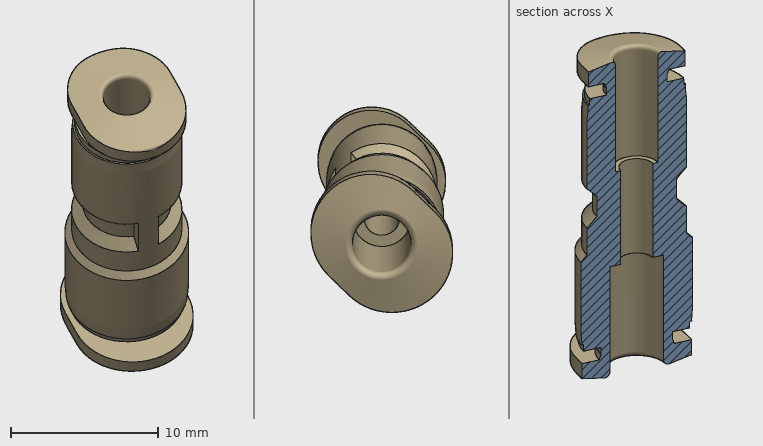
import cadquery as cq
import math

length = 24.1
through_bore_d = 2.4

upper_body_d = 7.5
lower_body_d = 8.4
shoulder_z = 9.3
groove_top_z = 14.8
groove_bottom_z = 11.8
groove_core_d = 6.02
rib_width = 1.5

button_inner = 1.52
flare_inner = 1.9
collar_outer = 2.4
collar_edge = 0.15
collar_edge_inset = 0.02
barrel_outer = 2.92
nose_inner = 3.93
nose_inset = 0.07

oval_center_distance = 1.98
cone_angle = 11.0
flare = 0.15

upper_button_width = 7.25
upper_collar_d = 7.1
upper_neck_d = 4.58
upper_tube_d = 3.18
upper_rim_round = 0.3
upper_corner_round = 0.17

lower_button_width = 8.22
lower_collar_d = 8.0
lower_neck_d = 5.37
lower_tube_d = 3.98
lower_rim_round = 0.43
tube_depth = 8.44


def revolve(profile):
    return profile.close().revolve(360, (0, 0, 0), (0, 1, 0))


def make_end(body_d, collar_d, neck_d, tube_d, button_width, rim_round, corner_round=0):
    """Solid end and its socket cutter, with the outer face at z = 0 and the part above it."""
    neck_r = neck_d / 2
    collar_r = collar_d / 2
    body_r = body_d / 2
    tube_r = tube_d / 2
    rim_r = tube_r + rim_round
    tip_r = (button_width + oval_center_distance) / 2
    cone_height = (tip_r - rim_r) * math.tan(math.radians(cone_angle))

    disc = revolve(
        cq.Workplane("XZ").lineTo(rim_r, 0).lineTo(tip_r, cone_height)
        .lineTo(tip_r, button_inner).lineTo(0, button_inner)
    )
    if corner_round:
        disc = disc.edges(cq.selectors.RadiusNthSelector(-1)).edges("<Z").fillet(corner_round)
    oval = (
        cq.Workplane("XY")
        .slot2D(button_width + oval_center_distance, button_width)
        .extrude(button_inner)
    )
    button = disc.intersect(oval)

    barrel = revolve(
        cq.Workplane("XZ", origin=(0, 0, button_inner))
        .lineTo(neck_r + flare, 0)
        .lineTo(neck_r, flare_inner - button_inner)
        .lineTo(neck_r, collar_outer - button_inner)
        .lineTo(collar_r - collar_edge_inset, collar_outer - button_inner)
        .lineTo(collar_r, collar_outer + collar_edge - button_inner)
        .lineTo(collar_r, barrel_outer - button_inner)
        .lineTo(body_r - nose_inset, barrel_outer - button_inner)
        .lineTo(body_r, nose_inner - button_inner)
        .lineTo(0, nose_inner - button_inner)
    )

    round_offset = rim_round * (1 - math.sqrt(0.5))
    socket = revolve(
        cq.Workplane("XZ").lineTo(rim_r, 0)
        .threePointArc((tube_r + round_offset, round_offset), (tube_r, rim_round))
        .lineTo(tube_r, tube_depth).lineTo(0, tube_depth)
    )
    return button.union(barrel), socket


def make_middle():
    upper_r = upper_body_d / 2
    lower_r = lower_body_d / 2
    core_r = groove_core_d / 2
    groove_depth = upper_r - core_r
    shoulder_height = lower_r - upper_r
    middle = revolve(
        cq.Workplane("XZ").moveTo(0, nose_inner)
        .lineTo(lower_r, nose_inner)
        .lineTo(lower_r, shoulder_z)
        .lineTo(upper_r, shoulder_z + shoulder_height)
        .lineTo(upper_r, groove_bottom_z)
        .lineTo(core_r, groove_bottom_z + groove_depth)
        .lineTo(core_r, groove_top_z - groove_depth)
        .lineTo(upper_r, groove_top_z)
        .lineTo(upper_r, length - nose_inner)
        .lineTo(0, length - nose_inner)
    )

    groove_height = groove_top_z - groove_bottom_z
    web = (
        cq.Workplane("XY", origin=(0, 0, groove_bottom_z))
        .rect(upper_body_d, rib_width).extrude(groove_height)
    )
    envelope = (
        cq.Workplane("XY", origin=(0, 0, groove_bottom_z))
        .circle(upper_r).extrude(groove_height)
    )
    return middle.union(web.intersect(envelope))


def to_top(shape):
    """Turn an end built at z = 0 over and move it to the top of the part."""
    return shape.rotate((0, 0, 0), (1, 0, 0), 180).translate((0, 0, length))


lower_end, lower_socket = make_end(
    lower_body_d, lower_collar_d, lower_neck_d, lower_tube_d,
    lower_button_width, lower_rim_round,
)
upper_end, upper_socket = make_end(
    upper_body_d, upper_collar_d, upper_neck_d, upper_tube_d,
    upper_button_width, upper_rim_round, upper_corner_round,
)
through_bore = cq.Workplane("XY").circle(through_bore_d / 2).extrude(length)

result = (
    make_middle()
    .union(lower_end)
    .union(to_top(upper_end))
    .cut(lower_socket)
    .cut(to_top(upper_socket))
    .cut(through_bore)
)